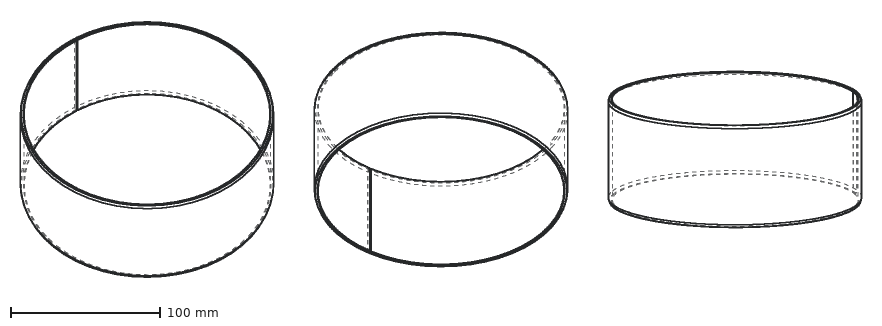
import cadquery as cq

outer_diameter = 170.0
wall = 2.5
length = 70.0
outer_radius = outer_diameter / 2
inner_radius = outer_radius - wall

outer_chamfer_height = 2.0
outer_chamfer_depth = 0.7

inner_chamfer = 0.5

slit_width = 1.2


def make_sleeve():
    """Revolve the wall section, with all four rims chamfered."""
    half_length = length / 2
    shoulder = half_length - outer_chamfer_height
    rim_radius = outer_radius - outer_chamfer_depth
    bore_rim_radius = inner_radius + inner_chamfer
    bore_shoulder = half_length - inner_chamfer
    section = (
        cq.Workplane("XZ")
        .moveTo(bore_rim_radius, -half_length)
        .lineTo(rim_radius, -half_length)
        .lineTo(outer_radius, -shoulder)
        .lineTo(outer_radius, shoulder)
        .lineTo(rim_radius, half_length)
        .lineTo(bore_rim_radius, half_length)
        .lineTo(inner_radius, bore_shoulder)
        .lineTo(inner_radius, -bore_shoulder)
        .close()
    )
    return section.revolve(360, (0, 0, 0), (0, 1, 0))


def make_slit():
    """Block that opens the wall along its full length on the -X side."""
    block = cq.Workplane("XY").box(outer_radius, slit_width, length)
    return block.translate((-outer_radius, slit_width / 2, 0))


result = make_sleeve().cut(make_slit())